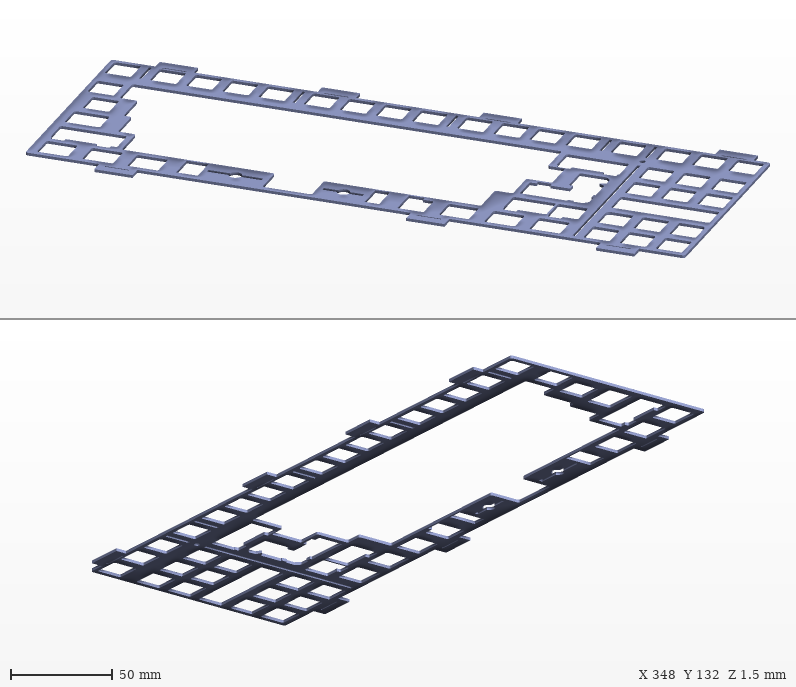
import cadquery as cq

plate_width = 348.0
thickness = 1.5
total_height = 132.0
columns_across = 18.25
rows_up = 6.25
pitch = plate_width / columns_across
plate_height = rows_up * pitch
plate_corner = 1.5

key_size = 14.0
half_key = key_size / 2
key_corner = 0.87
row_shift = 0.5
bottom_row, shift_row, caps_row, tab_row, number_row, function_row = 0, 1, 2, 3, 4, 5.25
numpad_columns = [15.25, 16.25, 17.25]
function_columns = [0, 1.25, 2.25, 3.25, 4.25, 5.5, 6.5, 7.5, 8.5, 9.75, 10.75, 11.75, 12.75, 14]
bottom_key_ranges = [
    (0.125, 0.25),
    (1.375, 1.5),
    (2.625, 2.75),
    (10.1, 10.1),
    (11.25, 11.35),
    (12.5, 12.625),
    (13.75, 13.875),
]
numpad_relief_radius = 2.0

tab_width = 20.2
top_tab_reach = 6.0
bottom_tab_reach = total_height - plate_height - top_tab_reach
top_tab_centres = [33.5, 119.0, 204.2, 328.8]
bottom_tab_centres = [49.0, 213.5, 314.0]
tab_slot_length = 13.0
tab_slot_width = 0.7
top_slot_y = plate_height - 0.52
bottom_slot_y = -1.7

flex_slot_width = 1.5
flex_slot_columns = [0.625, 4.875, 9.125, 13.375, 14.625]
pin_hole_diameter = 3.0

notch_depth = 2.0
notch_width = 7.3
wide_keys = [
    (5.0, 40.0, shift_row, [5.5, 29.5]),
    (250.2, 283.2, number_row, [251.0, 275.2]),
    (244.0, 266.5, shift_row, [244.3]),
    (267.5, 283.2, shift_row, [268.0]),
]

enter_left = 245.3
enter_upper_left = 264.5
enter_right = 281.0
enter_hook_x = 266.5
enter_hook_height = 4.0
enter_corner = 2.5
enter_notch_left = 248.8
nub_height = 1.0
nub_width = 3.0
right_nub_y = 50.5
bottom_nub_x = 271.7
prong_length = 3.0
prong_width = 3.5
prong_y = 65.8

pocket_bottom = 4.2
pocket_top = 19.0
pocket_spans = [(78.0, 89.5), (177.5, 185.0)]
key_relief_span = (195.2, 203.5)
screw_slot_y = 11.5
screw_slot_width = 2.0
screw_hole_diameter = 6.5
screw_slots = [(92.0, 120.7, 106.5), (152.8, 174.0, 163.5)]

opening_top = 95.5
tab_step_y = 77.5
backspace_step_y = 76.5
caps_step_y = 58.5
shift_step_y = 39.5
opening_bottom = 20.2
space_bar_bottom = 3.0
space_bar_left = 124.0
space_bar_right = 150.0
left_sides = [20.2, 29.5, 33.8, 43.0]
right_sides = [246.7, 255.7, 242.0, 232.8]
opening_corner = 1.0


def column(number):
    """X of a key centre."""
    return (number + 0.5) * pitch


def row(number):
    """Y of a key centre."""
    return (number + 0.5) * pitch + row_shift


def box(left, right, bottom, top):
    """Block through the full thickness."""
    block = cq.Workplane("XY").box(right - left, top - bottom, thickness, centered=False)
    return block.translate((left, bottom, 0))


def rounded_box(left, right, bottom, top, radius):
    return box(left, right, bottom, top).edges("|Z").fillet(radius)


def centred_box(x, y, width, height):
    return box(x - width / 2, x + width / 2, y - height / 2, y + height / 2)


def prism(points):
    return cq.Workplane("XY").polyline(points).close().extrude(thickness)


def disc(x, y, diameter):
    return cq.Workplane("XY").center(x, y).circle(diameter / 2).extrude(thickness)


def key(first_column, row_number, last_column=None):
    """Key cutout, stretched to a second column when the key has several positions."""
    if last_column is None:
        last_column = first_column
    left = column(first_column) - half_key
    right = column(last_column) + half_key
    y = row(row_number)
    return rounded_box(left, right, y - half_key, y + half_key, key_corner)


def relieved_key(column_number, corner_selector):
    """Numpad key of the shift row with one corner rounded more than the others."""
    shape = centred_box(column(column_number), row(shift_row), key_size, key_size)
    return shape.edges("|Z").edges(corner_selector).fillet(numpad_relief_radius)


def notched_key(left, right, row_number, notch_lefts):
    bottom = row(row_number) - half_key
    shape = rounded_box(left, right, bottom, bottom + key_size, key_corner)
    for notch_left in notch_lefts:
        notch_right = notch_left + notch_width
        notch = rounded_box(notch_left, notch_right, bottom - notch_depth, bottom + half_key, key_corner)
        shape = shape.union(notch)
    return shape


def tabbed_plate():
    plate = rounded_box(0, plate_width, 0, plate_height, plate_corner)
    for x in top_tab_centres:
        tab = box(x - tab_width / 2, x + tab_width / 2, plate_height / 2, plate_height + top_tab_reach)
        plate = plate.union(tab)
    for x in bottom_tab_centres:
        tab = box(x - tab_width / 2, x + tab_width / 2, -bottom_tab_reach, plate_height / 2)
        plate = plate.union(tab)
    return plate


def tab_slots():
    top = [centred_box(x, top_slot_y, tab_slot_length, tab_slot_width) for x in top_tab_centres]
    bottom = [centred_box(x, bottom_slot_y, tab_slot_length, tab_slot_width) for x in bottom_tab_centres]
    return top + bottom


def key_cutouts():
    shapes = [key(number, function_row) for number in function_columns + numpad_columns]
    for row_number in [number_row, tab_row, bottom_row]:
        shapes += [key(number, row_number) for number in numpad_columns]
    first, middle, last = numpad_columns
    shapes += [relieved_key(first, "<X and >Y"), key(middle, shift_row), relieved_key(last, ">X and >Y")]
    shapes.append(key(first, caps_row, last))
    shapes.append(key(0, number_row))
    shapes.append(key(0.25, tab_row))
    shapes.append(key(0.125, caps_row, 0.375))
    shapes += [key(start, bottom_row, end) for start, end in bottom_key_ranges]
    shapes += [notched_key(*wide_key) for wide_key in wide_keys]
    return shapes


def flex_slots():
    """Flex slots of the function row, the long divider and the pin hole between them."""
    shapes = [
        centred_box(column(number), row(function_row), flex_slot_width, key_size)
        for number in flex_slot_columns
    ]
    divider_x = column(flex_slot_columns[-1])
    divider_y = (row(bottom_row) + row(number_row)) / 2
    divider_length = row(number_row) - row(bottom_row) + key_size
    shapes.append(centred_box(divider_x, divider_y, flex_slot_width, divider_length))
    pin_y = (row(number_row) + row(function_row)) / 2
    shapes.append(disc(divider_x, pin_y, pin_hole_diameter))
    return shapes


def enter_key():
    bottom = row(caps_row) - half_key
    top = row(tab_row) + half_key
    shoulder = row(caps_row) + half_key
    hook_top = shoulder + enter_hook_height
    shape = prism(
        [
            (enter_left, bottom),
            (enter_right, bottom),
            (enter_right, top),
            (enter_upper_left, top),
            (enter_upper_left, hook_top),
            (enter_hook_x, hook_top),
            (enter_hook_x, shoulder),
            (enter_left, shoulder),
        ]
    )
    shape = shape.edges(">X and |Z").chamfer(enter_corner)
    notch_right = enter_notch_left + notch_width
    shape = shape.union(box(enter_notch_left, notch_right, row(caps_row), shoulder + notch_depth))
    right_nub = centred_box(enter_right, right_nub_y, 2 * nub_height, nub_width)
    bottom_nub = centred_box(bottom_nub_x, bottom, nub_width, 2 * nub_height)
    prong = prism(
        [
            (enter_right, prong_y - prong_width / 2),
            (enter_right, prong_y + prong_width / 2),
            (enter_right - prong_length, prong_y),
        ]
    )
    return shape.cut(right_nub).cut(bottom_nub).cut(prong)


def space_bar_cutouts():
    shapes = [box(left, right, pocket_bottom, pocket_top) for left, right in pocket_spans]
    relief_left, relief_right = key_relief_span
    shapes.append(box(relief_left, relief_right, row(bottom_row), pocket_top))
    for left, right, hole_x in screw_slots:
        shapes.append(centred_box((left + right) / 2, screw_slot_y, right - left, screw_slot_width))
        shapes.append(disc(hole_x, screw_slot_y, screw_hole_diameter))
    return shapes


def stepped_side(sides, step_heights):
    """Points down one side of the main opening, two per vertical stretch."""
    points = []
    for x, upper, lower in zip(sides, step_heights[:-1], step_heights[1:]):
        points += [(x, upper), (x, lower)]
    return points


def main_opening():
    lower_steps = [caps_step_y, shift_step_y, opening_bottom]
    left_side = stepped_side(left_sides, [opening_top, tab_step_y] + lower_steps)
    right_side = stepped_side(right_sides, [opening_top, backspace_step_y] + lower_steps)
    space_bar_gap = [
        (space_bar_left, opening_bottom),
        (space_bar_left, space_bar_bottom),
        (space_bar_right, space_bar_bottom),
        (space_bar_right, opening_bottom),
    ]
    outline = left_side + space_bar_gap + right_side[::-1]
    return prism(outline).edges("|Z").fillet(opening_corner)


result = tabbed_plate()
cutouts = tab_slots() + key_cutouts() + flex_slots() + space_bar_cutouts()
cutouts += [enter_key(), main_opening()]
for cutout in cutouts:
    result = result.cut(cutout)